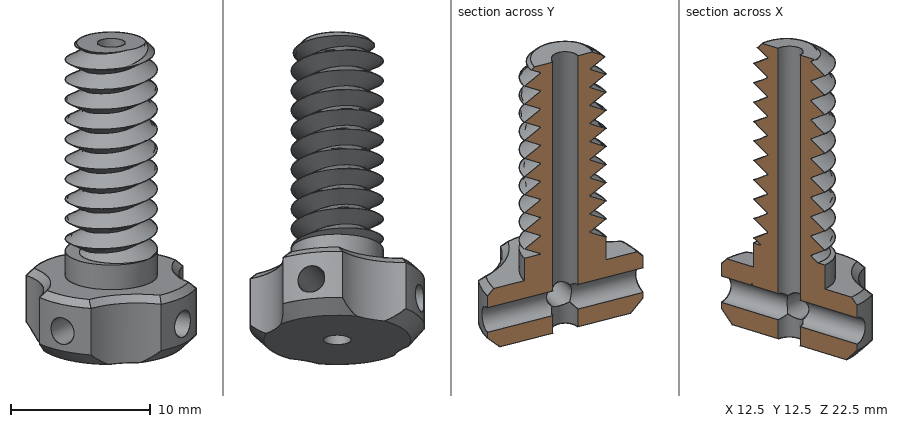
import cadquery as cq
import math


head_radius = 6.25
head_height = 5.0
lobe_count = 4
lobe_half_width = 2.23
scallop_depth = 1.25
head_top_chamfer = 0.5
head_bottom_chamfer = 1.0

total_height = 22.5
thread_radius = 3.3
collar_height = 1.85
thread_pitch = 1.5
thread_start = head_height + collar_height
tip_chamfer = 0.82

flank_half_angle = 30
thread_depth = thread_pitch / 2 / math.tan(math.radians(flank_half_angle))
spiral_steps = 12

bore_diameter = 2.0
cross_hole_diameter = 2.0
cross_hole_height = head_height / 2


def polar(radius, angle):
    """Point in the XY plane at the given radius and angle in degrees."""
    return (radius * math.cos(math.radians(angle)), radius * math.sin(math.radians(angle)))


def head():
    """Lobed head: convex lobe faces on X and Y, concave scallops on the diagonals."""
    lobe_spacing = 360 / lobe_count
    lobe_half_angle = math.degrees(math.asin(lobe_half_width / head_radius))
    outline = cq.Workplane("XY").moveTo(*polar(head_radius, -lobe_half_angle))
    for lobe in range(lobe_count):
        middle = lobe * lobe_spacing
        next_lobe = middle + lobe_spacing
        outline = outline.threePointArc(
            polar(head_radius, middle),
            polar(head_radius, middle + lobe_half_angle),
        )
        outline = outline.threePointArc(
            polar(head_radius - scallop_depth, middle + lobe_spacing / 2),
            polar(head_radius, next_lobe - lobe_half_angle),
        )
    lobed = outline.close().extrude(head_height).faces(">Z").chamfer(head_top_chamfer)
    bevelled_blank = (
        cq.Workplane("XY").circle(head_radius).extrude(head_height)
        .faces("<Z").chamfer(head_bottom_chamfer)
    )
    return lobed.intersect(bevelled_blank)


def flank_point(angle):
    """Point of the thread's cross-section: the crest is at 0 degrees, the root at +-180."""
    return polar(thread_radius - thread_depth * abs(angle) / 180, angle)


def thread():
    """Right-handed thread: its cross-section, two mirrored spirals, twisted along the axis."""
    thread_length = total_height - thread_start
    twist_angle = 360 * thread_length / thread_pitch
    rising_flank = [flank_point(-180 + 180 * step / spiral_steps) for step in range(spiral_steps + 1)]
    falling_flank = [flank_point(180 * step / spiral_steps) for step in range(1, spiral_steps + 1)]
    twisted = (
        cq.Workplane("XY").workplane(offset=thread_start)
        .spline(rising_flank)
        .spline(falling_flank, includeCurrent=True)
        .close()
        .twistExtrude(thread_length, twist_angle)
    )
    clearance = 0.5
    bevelled_blank = (
        cq.Workplane("XY").workplane(offset=thread_start)
        .circle(thread_radius + clearance).extrude(thread_length)
        .faces(">Z").chamfer(tip_chamfer + clearance)
    )
    return twisted.intersect(bevelled_blank)


def collar():
    """Plain neck between the head and the thread."""
    return cq.Workplane("XY").workplane(offset=head_height).circle(thread_radius).extrude(collar_height)


def bore():
    """Hole along the axis through the whole screw."""
    return cq.Workplane("XY").circle(bore_diameter / 2).extrude(total_height)


def cross_hole(plane):
    """Hole across the head, normal to the given plane, through two opposite lobes."""
    return (
        cq.Workplane(plane, origin=(0, 0, cross_hole_height))
        .circle(cross_hole_diameter / 2)
        .extrude(head_radius, both=True)
    )


result = head().union(collar()).union(thread())
result = result.cut(bore())
for hole_plane in ("XZ", "YZ"):
    result = result.cut(cross_hole(hole_plane))